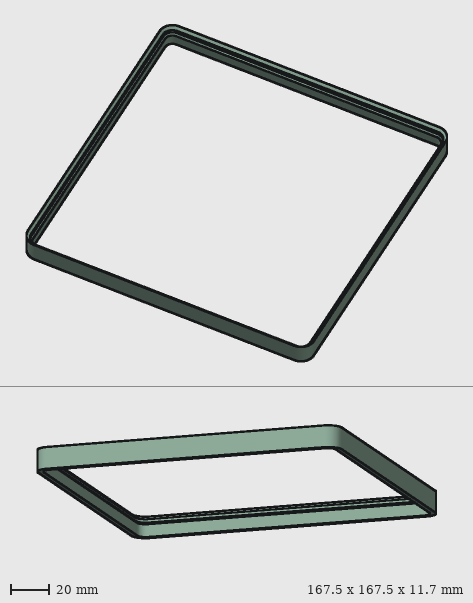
import cadquery as cq

side_length = 167.5
frame_height = 11.7
corner_radius = 7.5

wall_thickness = 3.1
upper_bevel_width = 1.9
bevel_slope = 1.0
step_height = 1.8

lower_bevel_width = wall_thickness - upper_bevel_width
step_top = frame_height - bevel_slope * upper_bevel_width
step_bottom = step_top - step_height
inner_wall_top = step_bottom - bevel_slope * lower_bevel_width


def wall_section():
    """Wall profile in the XZ plane, at the middle of the +X side."""
    outer_face = side_length / 2
    step_face = outer_face - upper_bevel_width
    inner_face = outer_face - wall_thickness
    return (
        cq.Workplane("XZ")
        .moveTo(outer_face, 0)
        .lineTo(outer_face, frame_height)
        .lineTo(step_face, step_top)
        .lineTo(step_face, step_bottom)
        .lineTo(inner_face, inner_wall_top)
        .lineTo(inner_face, 0)
        .close()
    )


def frame_path():
    """Closed rounded square along the outer bottom edge, starting at the middle of the +X side."""
    half = side_length / 2
    straight_end = half - corner_radius
    r = corner_radius
    return (
        cq.Workplane("XY")
        .moveTo(half, 0)
        .lineTo(half, straight_end)
        .tangentArcPoint((-r, r))
        .lineTo(-straight_end, half)
        .tangentArcPoint((-r, -r))
        .lineTo(-half, -straight_end)
        .tangentArcPoint((r, -r))
        .lineTo(straight_end, -half)
        .tangentArcPoint((r, r))
        .close()
    )


result = wall_section().sweep(frame_path())